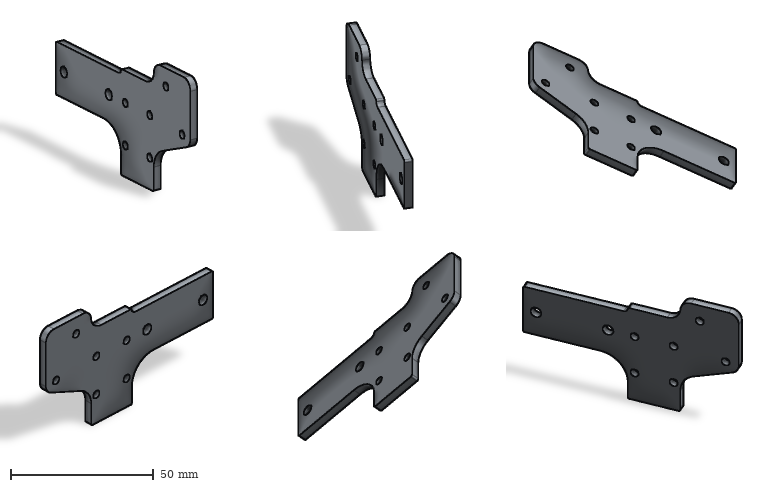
import cadquery as cq
import math

length = 82.0
height = 48.7
thickness = 3.0

arm_bottom = 18.0
arm_width = 20.0
arm_top = arm_bottom + arm_width
stem_left = 39.8
stem_width = 20.0
stem_right = stem_left + stem_width
shoulder_top = 40.0

slope_start_z = 14.8
slope_end_z = 23.7

small_radius = 0.7
head_radius = 4.0
arm_stem_radius = 10.5
slope_stem_radius = 8.0
step_inner_radius = 1.6
head_inner_radius = 5.0

small_hole_diameter = 3.0
large_hole_diameter = 4.0
hole_row_z = 28.0
arm_hole_xs = (4.9, 32.3)
grid_xs = (42.4, 57.2)
grid_zs = (12.0, hole_row_z)
head_holes = [(67.15, 41.8), (77.0, 26.7)]


def s_step(wall_x, low_z, high_z, inner_radius, outer_radius):
    """Start, junction and end of two tangent arcs rising from low_z to high_z.

    The upper, convex arc is tangent to wall_x and the lower one is concave.
    """
    outer_x = wall_x + outer_radius
    outer_z = high_z - outer_radius
    inner_z = low_z + inner_radius
    center_distance = inner_radius + outer_radius
    inner_x = outer_x - math.sqrt(center_distance**2 - (outer_z - inner_z) ** 2)
    share = inner_radius / center_distance
    junction = (
        inner_x + share * (outer_x - inner_x),
        inner_z + share * (outer_z - inner_z),
    )
    return (inner_x, low_z), junction, (outer_x, high_z)


def drill(plate, points, diameter):
    """Cut round through holes along Y at the given (X, Z) points."""
    pins = cq.Workplane("XZ").pushPoints(points).circle(diameter / 2).extrude(-thickness)
    return plate.cut(pins)


step_start, step_junction, step_end = s_step(
    stem_left, arm_top, shoulder_top, step_inner_radius, small_radius
)
head_start, head_junction, head_end = s_step(
    stem_right, shoulder_top, height, head_inner_radius, head_radius
)
plate = (
    cq.Workplane("XZ")
    .moveTo(0, arm_bottom)
    .lineTo(0, arm_top)
    .lineTo(*step_start)
    .radiusArc(step_junction, -step_inner_radius)
    .radiusArc(step_end, small_radius)
    .lineTo(*head_start)
    .radiusArc(head_junction, -head_inner_radius)
    .radiusArc(head_end, head_radius)
    .lineTo(length, height)
    .lineTo(length, slope_end_z)
    .lineTo(stem_right, slope_start_z)
    .lineTo(stem_right, 0)
    .lineTo(stem_left, 0)
    .lineTo(stem_left, arm_bottom)
    .close()
    .extrude(-thickness)
)

rounded_corners = [
    (0, arm_bottom, small_radius),
    (0, arm_top, small_radius),
    (length, height, head_radius),
    (length, slope_end_z, head_radius),
    (stem_right, slope_start_z, slope_stem_radius),
    (stem_right, 0, small_radius),
    (stem_left, 0, small_radius),
    (stem_left, arm_bottom, arm_stem_radius),
]
for x, z, radius in rounded_corners:
    corner = cq.NearestToPointSelector((x, thickness / 2, z))
    plate = plate.edges("|Y").edges(corner).fillet(radius)

plate = drill(plate, [(x, hole_row_z) for x in arm_hole_xs], large_hole_diameter)
grid_holes = [(x, z) for x in grid_xs for z in grid_zs]
plate = drill(plate, grid_holes + head_holes, small_hole_diameter)

result = plate